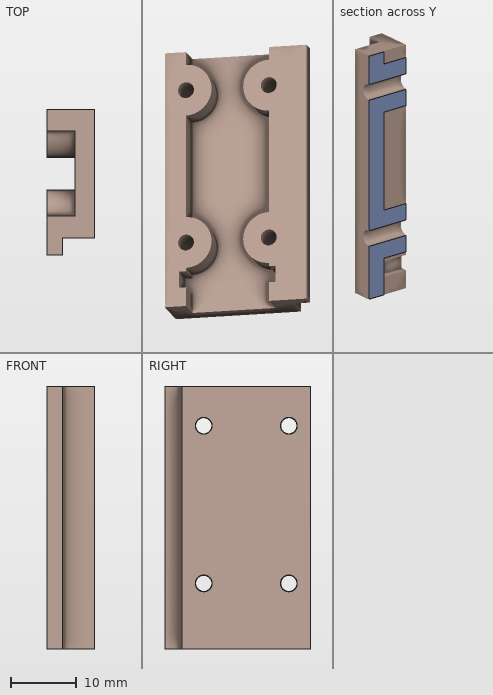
import cadquery as cq

depth = 7.3
width = 22.2
height = 40.0

far_wall = 3.3
near_wall = 5.9
channel_depth = 4.3
channel_width = width - near_wall - far_wall
channel_center_y = near_wall + channel_width / 2

lip_thickness = 2.4
lip_width = 2.6

boss_radius = 4.0
hole_diameter = 2.5
hole_heights = (10.0, 34.0)

slot_width = 15.1
slot_height = 2.5
slot_bottom = 2.95


def box(size_x, size_y, size_z, corner):
    """Axis-aligned box starting at its lowest corner."""
    return cq.Workplane("XY").box(size_x, size_y, size_z, centered=False).translate(corner)


def post(radius, length, y, z):
    """Cylinder along +X starting at the open face."""
    return cq.Workplane("YZ").center(y, z).circle(radius).extrude(length)


body = box(depth, width, height, (0, 0, 0))
channel_space = box(channel_depth, channel_width, height, (0, near_wall, 0))
body = body.cut(channel_space)

relief_depth = depth - lip_thickness
body = body.cut(box(relief_depth, lip_width, height, (lip_thickness, 0, 0)))

slot_start_y = channel_center_y - slot_width / 2
body = body.cut(box(channel_depth, slot_width, slot_height, (0, slot_start_y, slot_bottom)))

hole_positions = [(y, z) for y in (near_wall, width - far_wall) for z in hole_heights]
for y, z in hole_positions:
    boss = post(boss_radius, channel_depth, y, z).intersect(channel_space)
    body = body.union(boss)
    body = body.cut(post(hole_diameter / 2, depth, y, z))

result = body